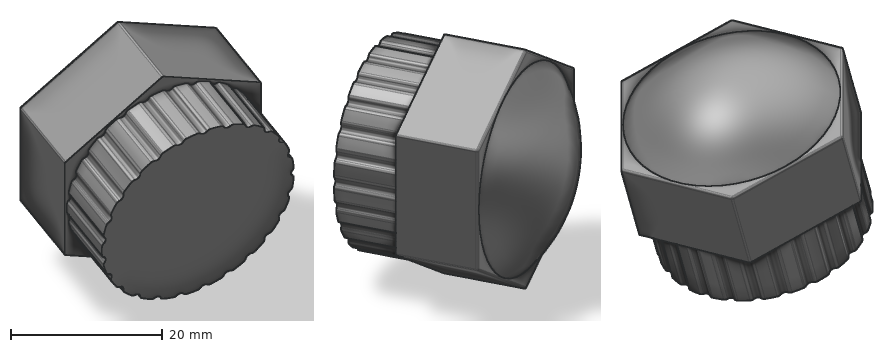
import cadquery as cq
import math

corner_height = 34.55
hex_length = 12.0
edge_radius = 0.3

dome_height = 5.75
dome_base_radius = 14.7

grip_length = 9.25
grip_radius = 14.7
flute_count = 25
flute_radius = 0.73
lip_radius = 0.62
land_half_angle = 3.2

hex_start = 0
hex_end = hex_start + hex_length


def make_hex():
    """Hexagon with corners on +/-Z, rounded along its sides and around its dome-side face."""
    corner_loss = edge_radius * (1 / math.cos(math.radians(30)) - 1)
    sharp_diagonal = corner_height + 2 * corner_loss
    prism = (
        cq.Workplane("YZ", origin=(hex_start, 0, 0))
        .transformed(rotate=(0, 0, 90))
        .polygon(6, sharp_diagonal)
        .extrude(hex_length)
    )
    return prism.edges("|X").fillet(edge_radius).faces("<X").edges().fillet(edge_radius)


def make_dome():
    """Spherical cap revolved about the X axis."""
    sphere_radius = (dome_base_radius**2 + dome_height**2) / (2 * dome_height)
    middle_radius = dome_base_radius / 2
    middle_x = hex_start - dome_height + sphere_radius - math.sqrt(sphere_radius**2 - middle_radius**2)
    return (
        cq.Workplane("XY")
        .moveTo(hex_start, 0)
        .lineTo(hex_start - dome_height, 0)
        .threePointArc((middle_x, middle_radius), (hex_start, dome_base_radius))
        .close()
        .revolve(360, (0, 0, 0), (1, 0, 0))
    )


def polar(radius, angle):
    """Point in the YZ plane, with the angle in degrees from +Y."""
    return (radius * math.cos(math.radians(angle)), radius * math.sin(math.radians(angle)))


def make_grip():
    """Fluted cylinder: land, lip, flute and lip repeat all around, with a land centred on -Y."""
    pitch = 360 / flute_count

    lip_center_radius = grip_radius - lip_radius
    lip_offset_angle = pitch / 2 - land_half_angle
    lip_y, lip_z = polar(lip_center_radius, lip_offset_angle)
    center_distance = flute_radius + lip_radius
    flute_center_radius = lip_y + math.sqrt(center_distance**2 - lip_z**2)

    lip_share = lip_radius / center_distance
    joint_y = lip_y + (flute_center_radius - lip_y) * lip_share
    joint_z = lip_z * (1 - lip_share)
    joint_radius = math.hypot(joint_y, joint_z)
    joint_angle = math.degrees(math.atan2(joint_z, joint_y))
    lip_end_direction = -math.degrees(math.atan2(lip_z, flute_center_radius - lip_y))
    lip_mid_offset = polar(lip_radius, (lip_offset_angle + lip_end_direction) / 2)
    lip_mid_y = lip_y + lip_mid_offset[0]
    lip_mid_z = lip_z + lip_mid_offset[1]
    lip_mid_radius = math.hypot(lip_mid_y, lip_mid_z)
    lip_mid_angle = math.degrees(math.atan2(lip_mid_z, lip_mid_y))
    flute_bottom_radius = flute_center_radius - flute_radius

    first_land = 180
    start_point = polar(grip_radius, first_land - land_half_angle)
    outline = cq.Workplane("YZ", origin=(hex_end, 0, 0)).moveTo(*start_point)
    for index in range(flute_count):
        land = first_land + index * pitch
        flute = land + pitch / 2
        land_end = land + land_half_angle
        next_land_start = land + pitch - land_half_angle
        outline = (
            outline
            .threePointArc(polar(grip_radius, land), polar(grip_radius, land_end))
            .threePointArc(
                polar(lip_mid_radius, flute - lip_mid_angle),
                polar(joint_radius, flute - joint_angle),
            )
            .threePointArc(
                polar(flute_bottom_radius, flute),
                polar(joint_radius, flute + joint_angle),
            )
            .threePointArc(
                polar(lip_mid_radius, flute + lip_mid_angle),
                polar(grip_radius, next_land_start),
            )
        )
    return outline.close().extrude(grip_length)


result = make_hex().union(make_dome()).union(make_grip())